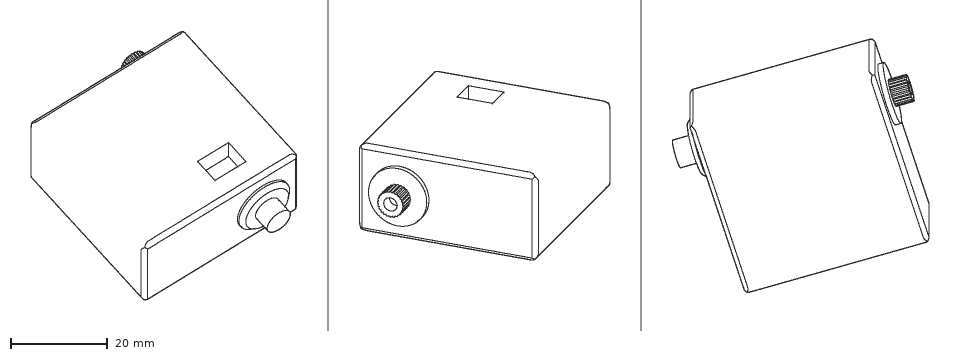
import cadquery as cq
import math

BODY_X = 40.0
BODY_Y = 40.2
BODY_Z = 20.0
LONG_EDGE_RADIUS = 1.95
END_CHAMFER = 1.0

AXIS_Y = 10.6
COLLAR_DIAMETER = 13.1

OUTPUT_COLLAR_LENGTH = 1.15
OUTPUT_REACH = 5.0
TOOTH_COUNT = 24
SPLINE_TIP_DIAMETER = 5.85
SPLINE_ROOT_DIAMETER = 5.45
BORE_DIAMETER = 3.0
BORE_DEPTH = 3.0

SUPPORT_COLLAR_LENGTH = 1.5
SUPPORT_COLLAR_CHAMFER = 1.0
SUPPORT_DIAMETER = 6.0
SUPPORT_REACH = 5.5

POCKET_X = 6.0
POCKET_Y = 8.0
POCKET_DEPTH = 5.0
POCKET_CENTER_X = 11.95
POCKET_CENTER_Y = 6.0


def end_plane(side):
    """Plane on the housing end (side -1 or +1), normal outwards, origin on the shaft axis."""
    return cq.Plane(origin=(side * BODY_X / 2, AXIS_Y, 0), xDir=(0, -1, 0), normal=(side, 0, 0))


def make_housing():
    """Box with chamfered ends, common to a bar with rounded long edges."""
    box = cq.Workplane("XY").box(BODY_X, BODY_Y, BODY_Z)
    chamfered = box.faces("<X or >X").chamfer(END_CHAMFER)
    rounded = box.edges("|X").fillet(LONG_EDGE_RADIUS)
    return chamfered.intersect(rounded)


def spline_points():
    """Corners of the toothed section, alternating between tip and root."""
    tip_radius = SPLINE_TIP_DIAMETER / 2
    root_radius = SPLINE_ROOT_DIAMETER / 2
    points = []
    for index in range(2 * TOOTH_COUNT):
        radius = tip_radius if index % 2 == 0 else root_radius
        angle = math.pi * index / TOOTH_COUNT
        points.append((radius * math.cos(angle), radius * math.sin(angle)))
    return points


def make_output_shaft():
    """Collar and bored, splined shaft."""
    plane = end_plane(-1)
    collar = cq.Workplane(plane).circle(COLLAR_DIAMETER / 2).extrude(OUTPUT_COLLAR_LENGTH)
    spline = cq.Workplane(plane).polyline(spline_points()).close().extrude(OUTPUT_REACH)
    bore = (
        cq.Workplane(plane)
        .workplane(offset=OUTPUT_REACH)
        .circle(BORE_DIAMETER / 2)
        .extrude(-BORE_DEPTH)
    )
    return collar.union(spline).cut(bore)


def make_support_shaft():
    """Chamfered collar and plain shaft."""
    plane = end_plane(1)
    collar = cq.Workplane(plane).circle(COLLAR_DIAMETER / 2).extrude(SUPPORT_COLLAR_LENGTH)
    collar = collar.faces(">X").chamfer(SUPPORT_COLLAR_CHAMFER)
    shaft = cq.Workplane(plane).circle(SUPPORT_DIAMETER / 2).extrude(SUPPORT_REACH)
    return collar.union(shaft)


def make_pocket():
    """Volume removed from the top face."""
    return (
        cq.Workplane("XY", origin=(POCKET_CENTER_X, POCKET_CENTER_Y, BODY_Z / 2))
        .rect(POCKET_X, POCKET_Y)
        .extrude(-POCKET_DEPTH)
    )


result = (
    make_housing()
    .union(make_output_shaft())
    .union(make_support_shaft())
    .cut(make_pocket())
)